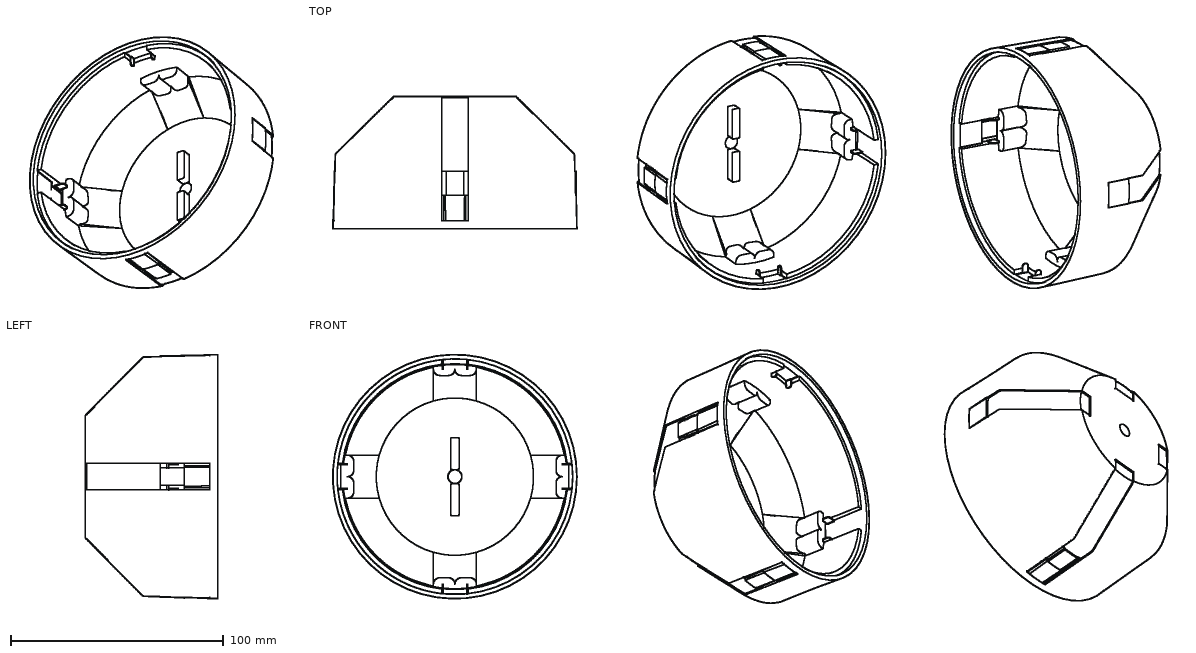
import cadquery as cq
import math


rim_radius = 57.5
total_depth = 62.5
shoulder_radius = 56.7
shoulder_y = 35.2
shoulder_fillet = 1.7
CONE_ANGLE = 45

lip_radius = 55.4
lip_depth = 2.9
cavity_rim_radius = 53.2
cavity_shoulder_radius = 52.5
cavity_shoulder_y = 33.4
floor_radius = 37.0
floor_y = 46.5

hole_radius = 3.2
bar_width = 3.9
bar_start = 3.3
bar_end = 18.4
bar_height = 4.5
bar_corner_radius = 0.6

pad_front_y = 23.0
pad_back_y = 35.9
pad_inner = 47.6
pad_base = 53.7
lobe_width = 10.1
lobe_radius = 3.0
pad_width = 2 * lobe_width
strip_rise = 1.7
strip_end_y = 32.5
strip_embed = 0.7

clip_width = 12.4
groove_depth = 0.7
groove_start = 23.0
window_front_y = 3.9
arm_front_y = 15.9
window_back_y = 27.1
arm_width = 8.3
clip_floor_radius = 55.8
tab_bevel_width = 10.4
tab_edge_height = 56.1
proud_arm_radius = 57.3
short_notch_end_y = 10.4
long_notch_end_y = pad_front_y + 1.2

rib_thickness = 0.5
rib_spacing = 11.5
rib_inner = 50.6
short_rib_length = 3.0
long_rib_length = 4.3
rib_tip_radius = 1.4

SHORT_NOTCH_ANGLES = (0, 180)
LONG_NOTCH_ANGLES = (90, 270)
PROUD_CLIP_ANGLE = 90
TAB_ANGLES = (0, 180, 270)


def revolve_y(points):
    """Solid of revolution about Y from (radius, y) points."""
    return cq.Workplane("XY").polyline(points).close().revolve(360, (0, 0, 0), (0, 1, 0))


def turn(body, angle):
    """Turn a feature from the +Z side to another place around the Y axis."""
    return body.rotate((0, 0, 0), (0, 1, 0), angle)


def block(x_min, x_max, y_min, y_max, z_min, z_max):
    size = (x_max - x_min, y_max - y_min, z_max - z_min)
    return cq.Workplane("XY").box(*size, centered=False).translate((x_min, y_min, z_min))


def centred_block(width, y_min, y_max, z_min, z_max):
    return block(-width / 2, width / 2, y_min, y_max, z_min, z_max)


def cylinder_y(radius):
    return cq.Workplane("XZ").circle(radius).extrude(-total_depth)


def make_envelope(inset=0.0):
    """Full outer form, with the barrel, cone and back moved inward by the inset."""
    shoulder_drop = inset * math.tan(math.radians(CONE_ANGLE / 2))
    inner_shoulder_y = shoulder_y - shoulder_drop
    inner_back_y = total_depth - inset
    inner_back_radius = shoulder_radius - inset - (inner_back_y - inner_shoulder_y)
    form = revolve_y([
        (0, 0),
        (rim_radius - inset, 0),
        (shoulder_radius - inset, inner_shoulder_y),
        (inner_back_radius, inner_back_y),
        (0, inner_back_y),
    ])
    shoulder = cq.NearestToPointSelector((0, inner_shoulder_y, 0))
    return form.edges(shoulder).fillet(shoulder_fillet)


def make_cavity():
    return revolve_y([
        (0, 0),
        (lip_radius, 0),
        (lip_radius, lip_depth),
        (cavity_rim_radius, lip_depth),
        (cavity_shoulder_radius, cavity_shoulder_y),
        (floor_radius, floor_y),
        (0, floor_y),
    ])


def make_strip():
    """Wedge on the cone inside, growing from the floor edge toward the pad."""
    strip_top_y = floor_y + strip_embed
    ring = revolve_y([
        (floor_radius - strip_embed, strip_top_y),
        (cavity_shoulder_radius - strip_rise, strip_end_y),
        (cavity_shoulder_radius + strip_rise, strip_end_y),
        (floor_radius + strip_rise, strip_top_y),
    ])
    return ring.intersect(centred_block(pad_width, 0, strip_top_y, 0, rim_radius))


def make_pad():
    pad = centred_block(pad_width, pad_front_y, pad_back_y, pad_inner + lobe_radius, pad_base)
    for x_min in (-lobe_width, 0):
        lobe = block(x_min, x_min + lobe_width, pad_front_y, pad_back_y, pad_inner, pad_base)
        pad = pad.union(lobe.edges("|Y and <Z").fillet(lobe_radius))
    return pad


def make_bar(direction):
    """Bar standing on the floor, above (+1) or below (-1) the hole."""
    length = bar_end - bar_start
    bar = cq.Workplane("XY").box(bar_width, bar_height, length).edges("|Y").fillet(bar_corner_radius)
    return bar.translate((0, floor_y - bar_height / 2, direction * (bar_start + bar_end) / 2))


def make_groove():
    """Shallow channel running from the window over the shoulder and onto the back."""
    channel = centred_block(clip_width, window_back_y, total_depth, groove_start, rim_radius)
    return channel.cut(make_envelope(groove_depth))


def make_window():
    """Recess for a tab at the front and slits along both sides of an arm behind it."""
    window = centred_block(clip_width, window_front_y, window_back_y, pad_inner, rim_radius)
    arm = centred_block(arm_width, arm_front_y, window_back_y, pad_inner, rim_radius)
    return window.cut(arm).cut(cylinder_y(clip_floor_radius))


def make_notch(end_y):
    """Gap in the thick part of the inner wall, from the lip to the given depth."""
    notch = centred_block(clip_width, lip_depth, end_y, pad_inner, rim_radius)
    return notch.intersect(cylinder_y(lip_radius))


def make_open_slits():
    """Openings beside the arm where a long notch leaves only a thin wall."""
    slits = centred_block(clip_width, arm_front_y, long_notch_end_y, pad_inner, rim_radius)
    return slits.cut(centred_block(arm_width, arm_front_y, long_notch_end_y, pad_inner, rim_radius))


def make_rib(side, end_y, length):
    """Thin round-tipped rib at a back corner of a notch."""
    rib = centred_block(rib_thickness, end_y - length, end_y, rib_inner, lip_radius)
    rib = rib.edges("|X and <Z").fillet(rib_tip_radius)
    return rib.translate((side * rib_spacing / 2, 0, 0))


def make_tab():
    """Tab filling the front of a window, bevelled down toward both sides."""
    edge_half = clip_width / 2
    bevel_half = tab_bevel_width / 2
    crown_half = arm_width / 2
    tab = (
        cq.Workplane("XZ", origin=(0, window_front_y, 0))
        .polyline([
            (-edge_half, pad_inner),
            (edge_half, pad_inner),
            (edge_half, tab_edge_height),
            (bevel_half, tab_edge_height),
            (crown_half, rim_radius),
            (-crown_half, rim_radius),
            (-bevel_half, tab_edge_height),
            (-edge_half, tab_edge_height),
        ])
        .close()
        .extrude(window_front_y - arm_front_y)
    )
    return tab.intersect(make_envelope()).cut(cylinder_y(clip_floor_radius))


def make_proud_arm():
    """Cylindrical arm face that stands slightly proud of the tapered barrel."""
    arm = centred_block(clip_width, arm_front_y, window_back_y, pad_inner, rim_radius)
    return arm.intersect(cylinder_y(proud_arm_radius)).cut(cylinder_y(clip_floor_radius))


def make_housing():
    housing = make_envelope().cut(make_cavity()).cut(cylinder_y(hole_radius))
    for direction in (-1, 1):
        housing = housing.union(make_bar(direction))

    clips = [(angle, short_notch_end_y, short_notch_end_y, short_rib_length) for angle in SHORT_NOTCH_ANGLES]
    clips += [(angle, long_notch_end_y, pad_front_y, long_rib_length) for angle in LONG_NOTCH_ANGLES]

    for angle, notch_end_y, _, _ in clips:
        cutters = [make_groove(), make_notch(notch_end_y)]
        if angle != PROUD_CLIP_ANGLE:
            cutters.append(make_window())
            if angle in LONG_NOTCH_ANGLES:
                cutters.append(make_open_slits())
        for cutter in cutters:
            housing = housing.cut(turn(cutter, angle))

    for angle, _, rib_end_y, rib_length in clips:
        housing = housing.union(turn(make_strip(), angle)).union(turn(make_pad(), angle))
        for side in (-1, 1):
            housing = housing.union(turn(make_rib(side, rib_end_y, rib_length), angle))
    return housing.union(turn(make_proud_arm(), PROUD_CLIP_ANGLE))


housing = make_housing().solids()
tabs = [turn(make_tab(), angle) for angle in TAB_ANGLES]
result = cq.Compound.makeCompound([housing.val(), *[tab.val() for tab in tabs]])